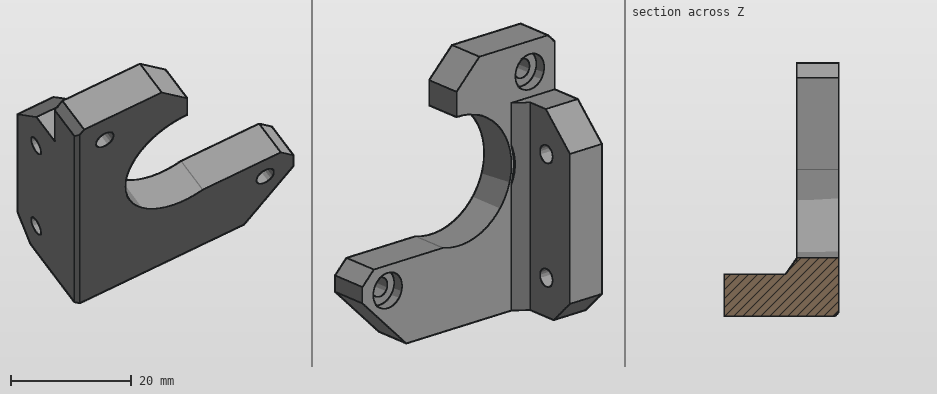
import cadquery as cq

width = 19.0
depth = 42.0
height = 47.0

wall = 7.0
side_x = width - wall

plate_height = 37.0
plate_top_chamfer = 6.15
plate_bottom_chamfer = 4.15
plate_hole_diameter = 3.2
plate_hole_x = 6.0
plate_hole_bottom_z = 7.0
plate_hole_spacing = 22.0

bore_y = 21.0
bore_z = 26.0
bore_radius = 11.5
screw_spacing = 31.0
screw_diameter = 3.4
counterbore_diameter = 6.3
counterbore_depth = 2.0

upper_arm_end_y = 21.5
upper_arm_chamfer = 5.0
front_top_chamfer = 1.5
lower_arm_top_z = 15.0
lower_arm_top_chamfer = 2.5
lower_arm_bottom_chamfer = 9.6
corner_chamfer = 0.65

gusset_reach = 2.6
gusset_width = 1.85
relief_radius = 12.0


def along_x(radius, y, z, x_start, x_end):
    """Cylinder parallel to X."""
    return cq.Workplane("YZ", origin=(x_start, y, z)).circle(radius).extrude(x_end - x_start)


def front_plate():
    outline = [
        (plate_bottom_chamfer, 0),
        (width, 0),
        (width, plate_height),
        (plate_top_chamfer, plate_height),
        (0, plate_height - plate_top_chamfer),
        (0, plate_bottom_chamfer),
    ]
    plate = cq.Workplane("XZ").polyline(outline).close().extrude(-wall)
    holes = (
        cq.Workplane("XZ")
        .pushPoints([(plate_hole_x, plate_hole_bottom_z + i * plate_hole_spacing) for i in range(2)])
        .circle(plate_hole_diameter / 2)
        .extrude(-wall)
    )
    return plate.cut(holes)


def side_wall():
    outline = [
        (0, 0),
        (depth - lower_arm_bottom_chamfer, 0),
        (depth, lower_arm_bottom_chamfer),
        (depth, lower_arm_top_z - lower_arm_top_chamfer),
        (depth - lower_arm_top_chamfer, lower_arm_top_z),
        (upper_arm_end_y, lower_arm_top_z),
        (upper_arm_end_y, height - upper_arm_chamfer),
        (upper_arm_end_y - upper_arm_chamfer, height),
        (front_top_chamfer, height),
        (0, height - front_top_chamfer),
    ]
    return cq.Workplane("YZ", origin=(side_x, 0, 0)).polyline(outline).close().extrude(wall)


def gusset():
    corner = [
        (side_x, wall),
        (side_x, wall + gusset_reach),
        (side_x - gusset_width, wall),
    ]
    prism = cq.Workplane("XY").polyline(corner).close().extrude(plate_height)
    return prism.cut(along_x(relief_radius, bore_y, bore_z, 0, side_x))


def screw_hole(y, z):
    through = along_x(screw_diameter / 2, y, z, side_x, width)
    counterbore = along_x(counterbore_diameter / 2, y, z, side_x, side_x + counterbore_depth)
    return through.union(counterbore)


def corner_bevel():
    """Wedge removed from the outer vertical front edge."""
    wedge = [
        (width, 0),
        (width, corner_chamfer),
        (width - corner_chamfer, 0),
    ]
    return cq.Workplane("XY").polyline(wedge).close().extrude(height)


result = front_plate().union(side_wall()).union(gusset())
result = result.cut(along_x(bore_radius, bore_y, bore_z, side_x, width))
result = result.cut(corner_bevel())

half_spacing = screw_spacing / 2
for sign in (-1, 1):
    result = result.cut(screw_hole(bore_y + sign * half_spacing, bore_z - sign * half_spacing))